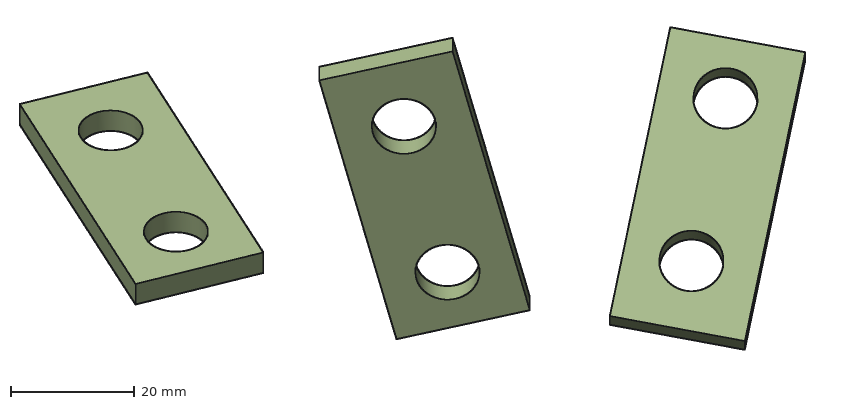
import cadquery as cq

length = 50.8
width = 22.35
thickness = 4.25

hole_diameter = 10.4
left_hole_inset = 11.9
right_hole_inset = 10.3
hole_centres = [
    (-length / 2 + left_hole_inset, 0),
    (length / 2 - right_hole_inset, 0),
]

plate = cq.Workplane("XY").box(length, width, thickness)
result = plate.faces(">Z").workplane().pushPoints(hole_centres).hole(hole_diameter)